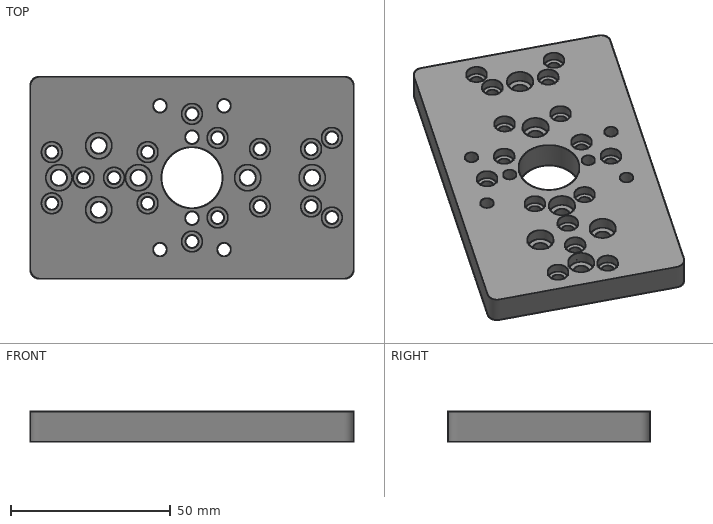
import cadquery as cq

LENGTH = 101.6
WIDTH = 63.5
THICKNESS = 9.5
CORNER_RADIUS = 3.0

BORE_DIAMETER = 19.1
PLAIN_DIAMETER = 4.2

SMALL_DIAMETER = 4.0
SMALL_HEAD_DIAMETER = 6.5
SMALL_HEAD_DEPTH = 3.3
LARGE_DIAMETER = 5.0
LARGE_HEAD_DIAMETER = 8.2
LARGE_HEAD_DEPTH = 4.2


def mirrored(*places):
    """Return each (x, y) place together with its mirror image across the X axis."""
    return [(x, side * y) for x, y in places for side in (1, -1)]


PLAIN_PLACES = mirrored((-10.1, 22.6), (10.1, 22.6), (0, 12.7))

SMALL_PLACES = mirrored(
    (0, 20.0),
    (8.0, 12.5),
    (43.9, 12.5),
    (21.3, 9.0),
    (37.4, 9.0),
    (-44.0, 8.0),
    (-13.9, 8.0),
) + [(-34.0, 0), (-24.5, 0)]

LARGE_PLACES = mirrored((-29.3, 10.1)) + [(-41.8, 0), (-16.8, 0), (17.5, 0), (37.7, 0)]


def make_plate():
    """Build the rounded plate, standing on the XY plane and centred on the Z axis."""
    plate = cq.Workplane("XY").box(LENGTH, WIDTH, THICKNESS, centered=(True, True, False))
    return plate.edges("|Z").fillet(CORNER_RADIUS)


def on_top(body, places):
    """Select the given places on the top face."""
    return body.faces(">Z").workplane(origin=(0, 0, THICKNESS)).pushPoints(places)


result = make_plate()
result = on_top(result, [(0, 0)]).hole(BORE_DIAMETER)
result = on_top(result, PLAIN_PLACES).hole(PLAIN_DIAMETER)
result = on_top(result, SMALL_PLACES).cboreHole(SMALL_DIAMETER, SMALL_HEAD_DIAMETER, SMALL_HEAD_DEPTH)
result = on_top(result, LARGE_PLACES).cboreHole(LARGE_DIAMETER, LARGE_HEAD_DIAMETER, LARGE_HEAD_DEPTH)